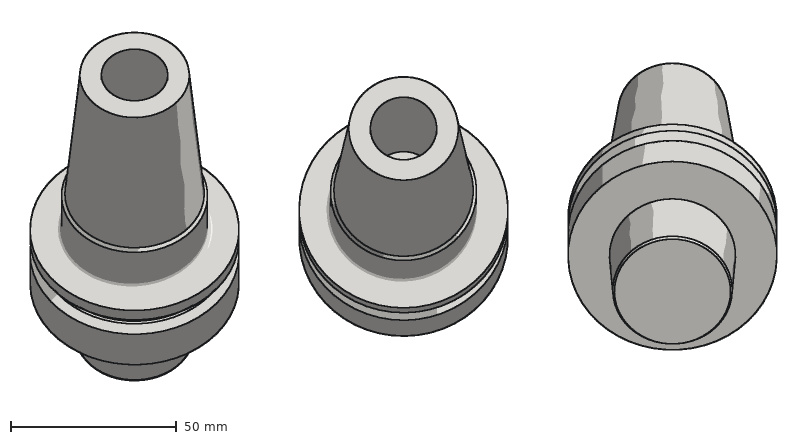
import cadquery as cq
import math

total_height = 125.0
flange_radius = 31.5

shank_height = 25.0
shank_top_radius = 19.0
shank_bottom_radius = 18.0
shank_chamfer_height = 1.0
shank_chamfer_width = 0.5

flange_height = 26.0
groove_radius = 27.8
groove_bottom_z = 39.6
groove_top_z = 46.5
groove_ledge_radius = 28.8
groove_flank_angle = 30.0

hub_radius = 22.0
hub_top_z = 68.1
hub_fillet = 2.0
hub_chamfer = 1.0

nose_base_radius = hub_radius - hub_chamfer
nose_top_radius = 16.5
bore_radius = 10.0
bore_depth = 50.0

flange_top_z = shank_height + flange_height
groove_flank_height = (flange_radius - groove_ledge_radius) * math.tan(math.radians(groove_flank_angle))


def make_body():
    """Revolve the half section, drawn in the XZ plane, around the Z axis."""
    profile = (
        cq.Workplane("XZ")
        .moveTo(0, 0)
        .lineTo(shank_bottom_radius - shank_chamfer_width, 0)
        .lineTo(shank_bottom_radius, shank_chamfer_height)
        .lineTo(shank_top_radius, shank_height)
        .lineTo(flange_radius, shank_height)
        .lineTo(flange_radius, groove_bottom_z)
        .lineTo(groove_ledge_radius, groove_bottom_z + groove_flank_height)
        .lineTo(groove_radius, groove_bottom_z + groove_flank_height)
        .lineTo(groove_radius, groove_top_z - groove_flank_height)
        .lineTo(groove_ledge_radius, groove_top_z - groove_flank_height)
        .lineTo(flange_radius, groove_top_z)
        .lineTo(flange_radius, flange_top_z)
        .lineTo(hub_radius + hub_fillet, flange_top_z)
        .radiusArc((hub_radius, flange_top_z + hub_fillet), hub_fillet)
        .lineTo(hub_radius, hub_top_z - hub_chamfer)
        .lineTo(nose_base_radius, hub_top_z)
        .lineTo(nose_top_radius, total_height)
        .lineTo(0, total_height)
        .close()
    )
    return profile.revolve(360, (0, 0, 0), (0, 1, 0))


def make_bore():
    """Flat-bottomed bore, open at the top of the nose."""
    return (
        cq.Workplane("XY", origin=(0, 0, total_height - bore_depth))
        .circle(bore_radius)
        .extrude(bore_depth)
    )


result = make_body().cut(make_bore())